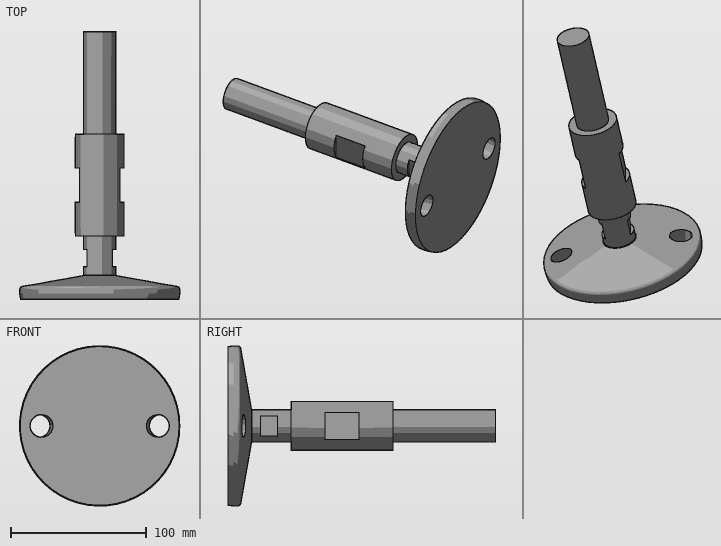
import cadquery as cq
import math

overall_length = 197.0

base_diameter = 118.0
underside_diameter = 116.8
rim_taper_height = 4.2
rim_height = 7.1
rim_rounding = 2.5
cone_angle = math.radians(10)

spindle_diameter = 24.0
neck_chamfer = 0.4
spindle_flat_width = 19.0
spindle_flat_length = 12.5
spindle_flat_start = 24.0

sleeve_diameter = 36.0
sleeve_length = 75.0
sleeve_start = 46.5
sleeve_flat_width = 30.0
sleeve_flat_length = sleeve_length / 3
sleeve_flat_start = sleeve_start + (sleeve_length - sleeve_flat_length) / 2

hole_diameter = 16.5
hole_offset = 44.8
hole_reach = 30.0

base_radius = base_diameter / 2
rounding_center_radius = base_radius - rim_rounding
rounding_sweep = math.pi / 2 - cone_angle


def rounding_point(angle):
    """Point (radius, height) on the rim rounding, at an angle up from horizontal."""
    radius = rounding_center_radius + rim_rounding * math.cos(angle)
    height = rim_height + rim_rounding * math.sin(angle)
    return radius, height


cone_edge_radius, cone_edge_height = rounding_point(rounding_sweep)


def cone_height(radius):
    """Height of the sloping upper face above the underside."""
    return cone_edge_height + (cone_edge_radius - radius) * math.tan(cone_angle)


def cut_flats(body, diameter, flat_width, start, length):
    """Cut two opposite wrench flats, facing -X and +X."""
    depth = (diameter - flat_width) / 2
    for side in (-1, 1):
        center = (side * (diameter - depth) / 2, start + length / 2, 0)
        cutter = cq.Workplane("XY").box(depth, length, diameter).translate(center)
        body = body.cut(cutter)
    return body


def cut_fixing_holes(body):
    """Drill the two tilted holes, which lean outward as they rise."""
    for side in (-1, 1):
        direction = cq.Vector(side * math.sin(cone_angle), math.cos(cone_angle), 0)
        center = cq.Vector(side * hole_offset, cone_height(hole_offset), 0)
        start = center - direction * hole_reach
        drill = cq.Solid.makeCylinder(hole_diameter / 2, 2 * hole_reach, start, direction)
        body = body.cut(cq.Workplane(drill))
    return body


def make_foot():
    """Base and spindle in one piece."""
    spindle_radius = spindle_diameter / 2
    neck_radius = spindle_radius + neck_chamfer
    neck_height = cone_height(neck_radius)
    foot = (
        cq.Workplane("XY")
        .lineTo(underside_diameter / 2, 0)
        .lineTo(base_radius, rim_taper_height)
        .lineTo(base_radius, rim_height)
        .threePointArc(rounding_point(rounding_sweep / 2), (cone_edge_radius, cone_edge_height))
        .lineTo(neck_radius, neck_height)
        .lineTo(spindle_radius, neck_height + neck_chamfer)
        .lineTo(spindle_radius, overall_length)
        .lineTo(0, overall_length)
        .close()
        .revolve(360, (0, 0), (0, 1))
    )
    foot = cut_fixing_holes(foot)
    return cut_flats(
        foot, spindle_diameter, spindle_flat_width, spindle_flat_start, spindle_flat_length
    )


def make_sleeve():
    """Sleeve with a through bore that fits the spindle."""
    sleeve = (
        cq.Workplane("XZ", origin=(0, sleeve_start, 0))
        .circle(sleeve_diameter / 2)
        .circle(spindle_diameter / 2)
        .extrude(-sleeve_length)
    )
    return cut_flats(
        sleeve, sleeve_diameter, sleeve_flat_width, sleeve_flat_start, sleeve_flat_length
    )


foot = make_foot()
sleeve = make_sleeve()
result = cq.Compound.makeCompound([foot.val(), sleeve.val()])